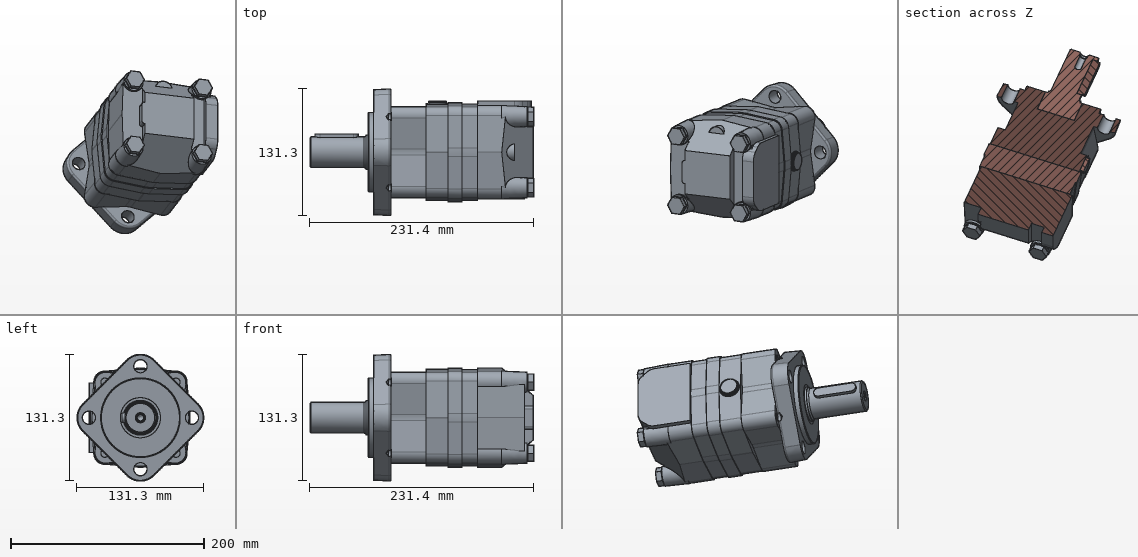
import cadquery as cq
import math


shaft_tip_x = -65.8
pilot_front_x = -5.7
flange_rear_x = 18.1
neck_rear_x = 54.3
housing_rear_x = 77.1
gear_ring_rear_x = 91.1
gear_set_rear_x = 107.4
cover_step_x = 132.4
cover_side_rear_x = 156.2
bolt_seat_x = 158.8
cover_rear_x = 165.2
bolt_thread_x = 30.0
bolt_tip_x = 18.6
tapped_hole_front_x = 15.4

bolt_offset = 36.8
bolt_centres = [(sy * bolt_offset, sz * bolt_offset) for sy in (-1, 1) for sz in (-1, 1)]
bolt_diameter = 10.0
tapped_hole_diameter = 8.38
drill_point_angle = 118.0

shaft_radius = 16.0
shaft_chamfer = 1.2
collar_radius = 18.0
collar_cone_radius = 17.0
collar_front_x = -7.8
collar_cone_x = -9.8
journal_radius = 20.8
centre_mouth_diameter = 10.5
centre_guide_diameter = 8.38
centre_bore_diameter = 6.65
centre_mouth_depth = 1.0
centre_guide_depth = 4.0
centre_bore_depth = 20.0
key_length = 45.0
key_width = 10.0
key_height = 8.0
key_top_y = 19.0
key_centre_x = -38.25

flange_corner_radius = 20.0
flange_tip_radius = 65.765
flange_draft = 3.0
flange_rear_round = 2.0
flange_hole_circle_radius = 53.2
flange_hole_diameter = 13.5
pilot_radius = 41.25
pilot_chamfer = 0.9

neck_corner_radius = 10.4
neck_slope = -8.5
neck_valley_half_width = 3.1
body_slope = 5.3
housing_corner_radius = 9.9
housing_ridge_half_width = 0.4
gear_ring_corner_radius = 11.3
valve_plate_corner_radius = 10.1
ridge_half_width = 4.6

plug_x = 66.1
plug_diameter = 18.63
plug_seat_diameter = 21.0
plug_seat_y = 49.1
plug_top_y = 53.0
plug_chamfer = 0.6
plug_groove_diameter = 18.0
plug_groove_bottom_y = 50.0
plug_groove_top_y = 51.4

cover_corner_radius = 11.25
cover_side_ridge_y = 48.4
cover_side_slope = 1.9
valley_slope = 41.0
side_edge_z = 32.2
side_wall_half_height = 34.4
lug_root_radius = 11.5
lug_rear_radius = 10.4
bolt_seat_diameter = 21.0
tail_half_width = 26.5
tail_rib_half_width = 12.2
tail_rib_height = 3.2
tail_rib_round = 3.0
port_face_y = 53.0
port_pad_base_y = 40.0
port_pad_half_width = 36.0
port_pad_rear_x = 163.2
port_pad_bevel_x = 150.2
port_pad_round = 12.6
valley_boss_diameter = 18.0
valley_boss_axis_z = 38.0
valley_boss_rear_x = 145.5

washer_face_diameter = 16.0
washer_face_height = 0.7
head_across_flats = 16.9
head_rear_x = 165.6


def at_x(x):
    """Plane across the shaft axis: local x is Y, local y is Z, normal is +X."""
    return cq.Workplane("YZ", origin=(x, 0, 0))


def cylinder(x_start, x_end, diameter, centres=((0, 0),)):
    """Cylinders along X about the given (Y, Z) centres."""
    return at_x(x_start).pushPoints(list(centres)).circle(diameter / 2).extrude(x_end - x_start)


def quarter_turns(point, turns):
    """Turn a (Y, Z) point clockwise about the shaft axis by quarter turns."""
    for _ in range(turns):
        point = (point[1], -point[0])
    return point


def four_sided_block(x_start, x_end, corner_radius, slope_degrees, middle_half_width):
    """Block with corners rounded about the bolts, each side a ridge (slope > 0) or valley (slope < 0)."""
    slope = math.radians(slope_degrees)
    side_end = bolt_offset + corner_radius * math.sin(slope)
    side_end_height = bolt_offset + corner_radius * math.cos(slope)
    middle_height = side_end_height + (side_end - middle_half_width) * math.tan(slope)
    crest_height = middle_height + middle_half_width * math.tan(slope / 2)
    corner_middle = bolt_offset + corner_radius * math.sqrt(0.5)

    outline = at_x(x_start).moveTo(-side_end, side_end_height)
    for turns in range(4):
        outline = outline.lineTo(*quarter_turns((-middle_half_width, middle_height), turns))
        outline = outline.threePointArc(
            quarter_turns((0, crest_height), turns),
            quarter_turns((middle_half_width, middle_height), turns),
        )
        outline = outline.lineTo(*quarter_turns((side_end, side_end_height), turns))
        outline = outline.threePointArc(
            quarter_turns((corner_middle, corner_middle), turns),
            quarter_turns((side_end_height, side_end), turns),
        )
    return outline.close().extrude(x_end - x_start)


def point_depth(diameter):
    """Depth of the cone left by a drill."""
    return diameter / 2 / math.tan(math.radians(drill_point_angle / 2))


def make_shaft():
    """Shaft with a conical collar, a journal filling the housing bore and a centre hole in the tip."""
    profile = [
        (shaft_tip_x, 0),
        (shaft_tip_x, shaft_radius - shaft_chamfer),
        (shaft_tip_x + shaft_chamfer, shaft_radius),
        (collar_cone_x, shaft_radius),
        (collar_front_x, collar_cone_radius),
        (collar_front_x, collar_radius),
        (pilot_front_x, collar_radius),
        (pilot_front_x, journal_radius),
        (flange_rear_x, journal_radius),
        (flange_rear_x, 0),
    ]
    body = cq.Workplane("XY").polyline(profile).close().revolve(360, (0, 0, 0), (1, 0, 0))
    bore_end_x = shaft_tip_x + centre_bore_depth
    centre_hole = [
        (shaft_tip_x, 0),
        (shaft_tip_x, centre_mouth_diameter / 2),
        (shaft_tip_x + centre_mouth_depth, centre_guide_diameter / 2),
        (shaft_tip_x + centre_guide_depth, centre_guide_diameter / 2),
        (shaft_tip_x + centre_guide_depth, centre_bore_diameter / 2),
        (bore_end_x, centre_bore_diameter / 2),
        (bore_end_x + point_depth(centre_bore_diameter), 0),
    ]
    hole = cq.Workplane("XY").polyline(centre_hole).close().revolve(360, (0, 0, 0), (1, 0, 0))
    return body.cut(hole).cut(make_key())


def make_key():
    """Round-ended key on the +Y side of the shaft."""
    return (
        cq.Workplane("XZ", origin=(key_centre_x, key_top_y, 0))
        .slot2D(key_length, key_width)
        .extrude(key_height)
    )


def make_flange():
    """Drafted diamond flange with rounded corners, pilot and four mounting holes."""
    corner_centre = flange_tip_radius - flange_corner_radius
    half_side = corner_centre / math.sqrt(2) + flange_corner_radius
    plate = (
        at_x(flange_rear_x)
        .transformed(rotate=(0, 0, 45))
        .sketch()
        .rect(2 * half_side, 2 * half_side)
        .vertices()
        .fillet(flange_corner_radius)
        .finalize()
        .extrude(-flange_rear_x, taper=flange_draft)
        .faces(">X")
        .edges()
        .fillet(flange_rear_round)
    )
    pilot = cylinder(pilot_front_x, 0, 2 * pilot_radius).faces("<X").chamfer(pilot_chamfer)
    hole_centres = [quarter_turns((0, flange_hole_circle_radius), turns) for turns in range(4)]
    holes = cylinder(0, flange_rear_x, flange_hole_diameter, hole_centres)
    return plate.union(pilot).cut(holes)


def make_tapped_holes():
    """Bolt holes in the housing: shank size at the rear, tapping size and drill point ahead."""
    holes = cylinder(bolt_thread_x, housing_rear_x, bolt_diameter, bolt_centres)
    holes = holes.union(cylinder(tapped_hole_front_x, bolt_thread_x, tapped_hole_diameter, bolt_centres))
    for y, z in bolt_centres:
        drill_point = cq.Solid.makeCone(
            tapped_hole_diameter / 2,
            0,
            point_depth(tapped_hole_diameter),
            pnt=cq.Vector(tapped_hole_front_x, y, z),
            dir=cq.Vector(-1, 0, 0),
        )
        holes = holes.union(cq.Workplane(drill_point))
    return holes


def make_housing():
    """Flange, waisted neck and rear section in one casting."""
    neck = four_sided_block(
        flange_rear_x, neck_rear_x, neck_corner_radius, neck_slope, neck_valley_half_width
    )
    rear = four_sided_block(
        neck_rear_x, housing_rear_x, housing_corner_radius, body_slope, housing_ridge_half_width
    )
    plug_seat = (
        cq.Workplane("XZ", origin=(plug_x, plug_seat_y, 0))
        .circle(plug_seat_diameter / 2)
        .extrude(plug_seat_y - plug_top_y)
    )
    shaft_bore = cylinder(pilot_front_x, flange_rear_x, 2 * journal_radius)
    housing = make_flange().union(neck).union(rear)
    return housing.cut(shaft_bore).cut(make_tapped_holes()).cut(plug_seat)


def make_drain_plug():
    """Round plug with a shallow groove around its rim, resting on its seat in the housing."""
    radius = plug_diameter / 2
    groove_radius = plug_groove_diameter / 2
    profile = [
        (plug_x, plug_seat_y),
        (plug_x + radius, plug_seat_y),
        (plug_x + radius, plug_groove_bottom_y),
        (plug_x + groove_radius, plug_groove_bottom_y),
        (plug_x + groove_radius, plug_groove_top_y),
        (plug_x + radius, plug_groove_top_y),
        (plug_x + radius, plug_top_y - plug_chamfer),
        (plug_x + radius - plug_chamfer, plug_top_y),
        (plug_x, plug_top_y),
    ]
    return cq.Workplane("XY").polyline(profile).close().revolve(360, (plug_x, 0, 0), (plug_x, 1, 0))


def make_gear_set():
    """Gear ring and the slightly smaller valve plate behind it."""
    ring = four_sided_block(
        housing_rear_x, gear_ring_rear_x, gear_ring_corner_radius, body_slope, ridge_half_width
    )
    plate = four_sided_block(
        gear_ring_rear_x, gear_set_rear_x, valve_plate_corner_radius, body_slope, ridge_half_width
    )
    return ring.union(plate).cut(cylinder(housing_rear_x, gear_set_rear_x, bolt_diameter, bolt_centres))


def mirrored_in_z(points):
    """The (X, Z) points mirrored across the shaft axis, in reverse order."""
    return [(x, -z) for x, z in reversed(points)]


def make_cover_tail():
    """Tail behind the side walls, as wide as the gap between the lugs, with a rounded rib on -Y."""
    tail_length = cover_rear_x - cover_side_rear_x
    rib_depth = tail_half_width + tail_rib_height
    rib = (
        cq.Workplane("XY", origin=(cover_side_rear_x, -rib_depth, 0))
        .box(tail_length, rib_depth, 2 * tail_rib_half_width, centered=(False, False, True))
        .edges("|X and <Y")
        .fillet(tail_rib_round)
    )
    block = at_x(cover_side_rear_x).rect(2 * tail_half_width, 2 * bolt_offset).extrude(tail_length)
    return block.union(rib)


def make_cover_front(side_edge, roof_edge, crest_z):
    """Full-width part of the cover: ridged roof, flatter ridged sides and corners round the bolts."""
    corner_middle = bolt_offset + cover_corner_radius * math.sqrt(0.5)
    outline = at_x(gear_set_rear_x).moveTo(0, crest_z)
    for sy, sz in ((1, 1), (1, -1), (-1, -1), (-1, 1)):
        corner = [roof_edge, (corner_middle, corner_middle), side_edge]
        if sy != sz:
            corner.reverse()
        start, middle, end = [(sy * y, sz * z) for y, z in corner]
        outline = outline.lineTo(*start).threePointArc(middle, end)
        if sy == sz:
            outline = outline.lineTo(sy * cover_side_ridge_y, 0)
        else:
            outline = outline.lineTo(0, -sy * crest_z)
    return outline.close().extrude(cover_step_x - gear_set_rear_x)


def make_cover_core():
    """Front part, side walls and the middle that slopes down to the rear between the lugs."""
    roof_angle = math.radians(body_slope)
    roof_edge = (
        bolt_offset + cover_corner_radius * math.sin(roof_angle),
        bolt_offset + cover_corner_radius * math.cos(roof_angle),
    )
    crest_z = roof_edge[1] + roof_edge[0] * math.tan(roof_angle)
    bolt_roof_z = crest_z - bolt_offset * math.tan(roof_angle)
    side_fall = math.tan(math.radians(cover_side_slope))
    side_edge_y = cover_side_ridge_y - side_edge_z * side_fall
    wall_edge_y = cover_side_ridge_y - side_wall_half_height * side_fall
    front = make_cover_front((side_edge_y, side_edge_z), roof_edge, crest_z)

    middle_length = cover_side_rear_x - cover_step_x
    wall_outline = [
        (bolt_offset, side_wall_half_height),
        (wall_edge_y, side_wall_half_height),
        (cover_side_ridge_y, 0),
        (wall_edge_y, -side_wall_half_height),
        (bolt_offset, -side_wall_half_height),
    ]
    wall = at_x(cover_step_x).polyline(wall_outline).close().extrude(middle_length)
    roof_outline = [
        (0, crest_z),
        (bolt_offset, bolt_roof_z),
        (bolt_offset, -bolt_roof_z),
        (0, -crest_z),
        (-bolt_offset, -bolt_roof_z),
        (-bolt_offset, bolt_roof_z),
    ]
    middle = at_x(cover_step_x).polyline(roof_outline).close().extrude(middle_length)
    valley_rear_z = crest_z - (cover_rear_x - cover_step_x) * math.tan(math.radians(valley_slope))
    slopes = [(cover_step_x, crest_z), (cover_rear_x, valley_rear_z)]
    wedge = (
        cq.Workplane("XZ")
        .polyline(slopes + mirrored_in_z(slopes))
        .close()
        .extrude(cover_side_ridge_y, both=True)
    )
    middle = middle.union(make_cover_tail()).intersect(wedge)
    return front.union(middle).union(wall).union(wall.mirror("XZ"))


def make_port_pad():
    """Flat pad on +Y, narrowed towards the rear with the slope of the valleys and rounded."""
    bevel_drop = (port_pad_rear_x - port_pad_bevel_x) * math.tan(math.radians(valley_slope))
    half_profile = [
        (gear_set_rear_x, port_pad_half_width),
        (port_pad_bevel_x, port_pad_half_width),
        (port_pad_rear_x, port_pad_half_width - bevel_drop),
    ]
    return (
        cq.Workplane("XZ", origin=(0, port_face_y, 0))
        .polyline(half_profile + mirrored_in_z(half_profile))
        .close()
        .extrude(port_face_y - port_pad_base_y)
        .edges("|Y and (not <X)")
        .fillet(port_pad_round)
    )


def make_cover():
    """End cover with tapered bolt lugs, port pad on +Y and a round boss in the top valley."""
    cover = make_cover_core()
    for y, z in bolt_centres:
        lug = cq.Solid.makeCone(
            lug_root_radius,
            lug_rear_radius,
            bolt_seat_x - cover_step_x,
            pnt=cq.Vector(cover_step_x, y, z),
            dir=cq.Vector(1, 0, 0),
        )
        cover = cover.union(cq.Workplane(lug))
    valley_boss = cylinder(
        cover_step_x, valley_boss_rear_x, valley_boss_diameter, [(0, valley_boss_axis_z)]
    )
    bolt_holes = cylinder(gear_set_rear_x, bolt_seat_x, bolt_diameter, bolt_centres)
    bolt_seats = cylinder(bolt_seat_x, head_rear_x, bolt_seat_diameter, bolt_centres)
    return cover.union(make_port_pad()).union(valley_boss).cut(bolt_holes).cut(bolt_seats)


def make_bolt(centre):
    """Hexagon-head bolt with a washer face and a thread that fills the tapped hole."""
    head_start_x = bolt_seat_x + washer_face_height
    hexagon = (
        at_x(head_start_x)
        .center(*centre)
        .polygon(6, head_across_flats / math.cos(math.pi / 6))
        .extrude(head_rear_x - head_start_x)
    )
    washer_face = cylinder(bolt_seat_x, head_start_x, washer_face_diameter, [centre])
    shank = cylinder(bolt_thread_x, bolt_seat_x, bolt_diameter, [centre])
    thread = cylinder(bolt_tip_x, bolt_thread_x, tapped_hole_diameter, [centre])
    return hexagon.union(washer_face).union(shank).union(thread)


shaft = make_shaft()
key = make_key()
housing = make_housing()
drain_plug = make_drain_plug()
gear_set = make_gear_set()
cover = make_cover()
bolts = [make_bolt(centre) for centre in bolt_centres]

result = cq.Compound.makeCompound(
    [
        shaft.val(),
        key.val(),
        housing.val(),
        drain_plug.val(),
        gear_set.val(),
        cover.val(),
        *[bolt.val() for bolt in bolts],
    ]
)